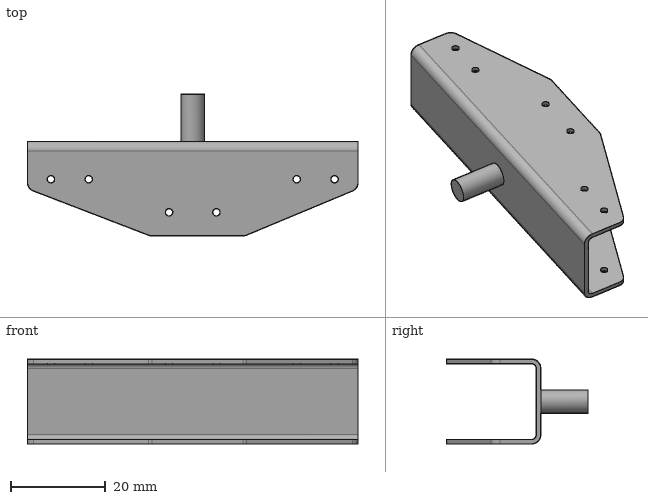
import cadquery as cq

length = 70.0
height = 18.0
flange_depth = 20.0
sheet = 1.0
inner_bend_radius = 1.0
outer_bend_radius = inner_bend_radius + sheet

end_depth = 10.0
nose_width = 20.0
nose_offset = 1.0
corner_radius = 2.0

hole_diameter = 1.5
hole_places = [(30.0, 8.0), (22.0, 8.0), (5.0, 15.0)]

stem_diameter = 5.0
stem_length = 10.0


def channel():
    """U-shaped channel with rounded bends, open toward -Y."""
    outer = (
        cq.Workplane("XY")
        .box(length, flange_depth, height)
        .translate((0, -flange_depth / 2, 0))
        .edges("|X and >Y")
        .fillet(outer_bend_radius)
    )
    inner = (
        cq.Workplane("XY")
        .box(length, flange_depth, height - 2 * sheet)
        .translate((0, -flange_depth / 2 - sheet, 0))
        .edges("|X and >Y")
        .fillet(inner_bend_radius)
    )
    return outer.cut(inner)


def flange_outline():
    """Full-height prism of the flange outline, with its tapered corners rounded."""
    half_length = length / 2
    nose_left = nose_offset - nose_width / 2
    nose_right = nose_offset + nose_width / 2
    return (
        cq.Workplane("XY")
        .polyline([
            (-half_length, 0),
            (-half_length, -end_depth),
            (nose_left, -flange_depth),
            (nose_right, -flange_depth),
            (half_length, -end_depth),
            (half_length, 0),
        ])
        .close()
        .extrude(height / 2, both=True)
        .edges("|Z and (not >Y)")
        .fillet(corner_radius)
    )


def flange_holes():
    """Pins that pierce both flanges, mirrored about the middle of the channel."""
    centers = [(side * x, -depth) for side in (-1, 1) for x, depth in hole_places]
    return (
        cq.Workplane("XY")
        .pushPoints(centers)
        .circle(hole_diameter / 2)
        .extrude(height, both=True)
    )


def stem():
    """Round stem along +Y, rooted in the thickness of the web."""
    return (
        cq.Workplane("XZ", origin=(0, stem_length, 0))
        .circle(stem_diameter / 2)
        .extrude(stem_length + sheet / 2)
    )


bracket = channel().intersect(flange_outline()).cut(flange_holes())
result = bracket.union(stem())